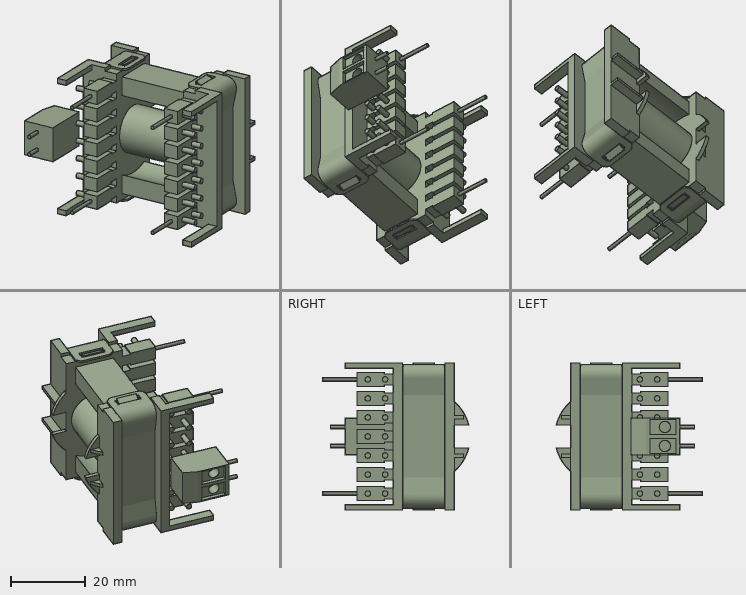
import cadquery as cq
import math


head_outer_x = -21.25
head_inner_x = -10.65
head_height = 39.4
step_height = 37.5
step_x = -14.25
plate_outer_y = 8.2
plate_inner_y = 5.65

cap_height = 38.6
cap_inner_x = -9.55
cap_corner_radius = 2.0
shoulder_x = -18.65
shoulder_radius = 3.0
undercut_angle = math.radians(12)
waist_height = 22.05

window_outer_x = -13.2
window_inner_x = -11.3
window_width = 6.8
wedge_outer_x = -13.1
wedge_inner_x = -11.0
wedge_width = 5.7

winding_diameter = 13.4
core_half_depth = 5.5
leg_outer_z = 16.95
leg_edge_z = 11.55

arm_width = 2.75
arm_thickness = 1.5
arm_end_y = -21.05

pin_pitch = 5.1
carriers_per_head = 7
carrier_outer_x = -14.9
carrier_height = 3.8
neck_height = 3.0
neck_end_y = -10.55
carrier_end_y = -17.85
wire_pin_diameter = 1.5
back_pin_y = -10.35
back_pin_end_x = -17.7
front_pin_y = -14.95
front_pin_end_x = -18.75
solder_pin_diameter = 1.0
solder_pin_end_y = -27.05

fin_radius = 12.45
fin_thickness = 1.1
fin_gap = 6.15
rib_thickness = 0.95
rib_z = 5.2
rib_top_y = 10.7

block_outer_x = -31.75
block_inner_x = -22.7
block_top_y = -7.95
block_bottom_y = arm_end_y
block_height = 9.85
bevel_x = -30.6
bevel_y = -12.0
terminal_pin_x = -27.7
terminal_pin_end_y = -24.95
pocket_top_y = -13.1
pocket_bottom_y = -20.0
pocket_height = 4.15
pocket_depth = 1.05
wire_hole_diameter = 3.0
wire_hole_y = -17.0
wire_hole_depth = 3.2


def box(x_range, y_range, z_range):
    """Box between two coordinates along each axis."""
    low = [min(pair) for pair in (x_range, y_range, z_range)]
    size = [abs(pair[1] - pair[0]) for pair in (x_range, y_range, z_range)]
    return cq.Workplane("XY").box(*size, centered=False).translate(tuple(low))


def centred(size, middle=0.0):
    """The two coordinates of a span of the given size about its middle."""
    return (middle - size / 2, middle + size / 2)


def rod_along_x(diameter, start_x, end_x, y, z):
    axis = cq.Vector(end_x - start_x, 0, 0)
    return cq.Workplane(cq.Solid.makeCylinder(diameter / 2, axis.Length, cq.Vector(start_x, y, z), axis))


def rod_along_y(diameter, start_y, end_y, x, z):
    axis = cq.Vector(0, end_y - start_y, 0)
    return cq.Workplane(cq.Solid.makeCylinder(diameter / 2, axis.Length, cq.Vector(x, start_y, z), axis))


def mirrored_in_x(shape):
    return shape.mirror("YZ")


def shoulder():
    """Block between the two plates: rounded at top and bottom and drawn in to a waist."""
    top_z = cap_height / 2
    centre_x = shoulder_x + shoulder_radius
    centre_z = top_z - shoulder_radius
    waist_z = waist_height / 2
    arc_end_x = centre_x - shoulder_radius * math.cos(undercut_angle)
    arc_end_z = centre_z - shoulder_radius * math.sin(undercut_angle)
    waist_x = arc_end_x + (arc_end_z - waist_z) * math.tan(undercut_angle)
    return (
        cq.Workplane("XZ")
        .moveTo(head_inner_x, top_z)
        .lineTo(centre_x, top_z)
        .threePointArc((shoulder_x, centre_z), (arc_end_x, arc_end_z))
        .lineTo(waist_x, waist_z)
        .lineTo(waist_x, -waist_z)
        .lineTo(arc_end_x, -arc_end_z)
        .threePointArc((shoulder_x, -centre_z), (centre_x, -top_z))
        .lineTo(head_inner_x, -top_z)
        .close()
        .extrude(core_half_depth, both=True)
    )


def cap(side):
    """Thin lip that carries the shoulder surface past the head, on the top (+1) or bottom (-1)."""
    lip = box(
        (step_x, cap_inner_x),
        (-core_half_depth, core_half_depth),
        (side * step_height / 2, side * cap_height / 2),
    )
    return lip.edges("|Z and >X").fillet(cap_corner_radius)


def cap_window(side):
    return box(
        (window_outer_x, window_inner_x),
        centred(window_width),
        (side * step_height / 2, side * cap_height / 2),
    )


def snap_wedge(side):
    """Ramp rising from the window floor to the full height of the head."""
    floor_z = side * step_height / 2
    peak_z = side * head_height / 2
    lip_z = side * cap_height / 2
    return (
        cq.Workplane("XZ")
        .polyline(
            [
                (wedge_outer_x, floor_z),
                (wedge_inner_x, peak_z),
                (wedge_inner_x, lip_z),
                (window_inner_x, lip_z),
                (window_inner_x, floor_z),
            ]
        )
        .close()
        .extrude(wedge_width / 2, both=True)
    )


def plates():
    """The two plates of a head, joined by a slightly lower wall next to the winding."""
    wall = box((step_x, head_inner_x), (-plate_outer_y, plate_outer_y), centred(step_height))
    for side in (-1, 1):
        y_range = (side * plate_inner_y, side * plate_outer_y)
        wall = wall.union(box((head_outer_x, step_x), y_range, centred(head_height)))
    return wall


def arm(side):
    outer_z = side * head_height / 2
    return box(
        (head_outer_x, head_outer_x + arm_width),
        (-plate_outer_y, arm_end_y),
        (outer_z, outer_z - side * arm_thickness),
    )


def pin_carrier(z):
    """Necked block with its two wire pins."""
    x_range = (carrier_outer_x, head_inner_x)
    neck = box(x_range, (-plate_outer_y, neck_end_y), centred(neck_height, z))
    body = box(x_range, (neck_end_y, carrier_end_y), centred(carrier_height, z))
    pin_root_x = (carrier_outer_x + head_inner_x) / 2
    back_pin = rod_along_x(wire_pin_diameter, pin_root_x, back_pin_end_x, back_pin_y, z)
    front_pin = rod_along_x(wire_pin_diameter, pin_root_x, front_pin_end_x, front_pin_y, z)
    return neck.union(body).union(back_pin).union(front_pin)


def solder_pin(z):
    middle_x = (carrier_outer_x + head_inner_x) / 2
    return rod_along_y(solder_pin_diameter, carrier_end_y, solder_pin_end_y, middle_x, z)


def fins():
    """Two fins cut from one disc about the winding axis, with a gap between them."""
    disc = rod_along_x(2 * fin_radius, head_inner_x - fin_thickness, head_inner_x, 0, 0)
    x_range = (head_inner_x - fin_thickness, head_inner_x)
    y_range = (plate_outer_y, fin_radius)
    segment = disc.intersect(box(x_range, y_range, centred(2 * fin_radius)))
    return segment.cut(box(x_range, y_range, centred(fin_gap)))


def head():
    """Everything that the two heads have in common."""
    shape = shoulder().union(plates())
    for side in (-1, 1):
        shape = shape.union(cap(side)).cut(cap_window(side)).union(snap_wedge(side)).union(arm(side))
    middle = (carriers_per_head - 1) / 2
    for index in range(carriers_per_head):
        shape = shape.union(pin_carrier((index - middle) * pin_pitch))
    for side in (-1, 1):
        shape = shape.union(solder_pin(side * middle * pin_pitch))
    return shape.union(fins())


def gusset_rib(z):
    """Triangular rib behind a fin of the -X head, sloping at 45 degrees."""
    fin_back_x = head_inner_x - fin_thickness
    rise = rib_top_y - plate_outer_y
    return (
        cq.Workplane("XY", origin=(0, 0, z - rib_thickness / 2))
        .polyline(
            [
                (fin_back_x, plate_outer_y),
                (fin_back_x, rib_top_y),
                (fin_back_x - rise, plate_outer_y),
            ]
        )
        .close()
        .extrude(rib_thickness)
    )


def long_rib(z):
    """Straight rib from a fin of the +X head to the outer face of that head."""
    fin_back_x = -head_inner_x + fin_thickness
    return box((fin_back_x, -head_outer_x), (plate_outer_y, rib_top_y), centred(rib_thickness, z))


def core():
    """Round winding and the two legs that join the heads, hollowed about the winding axis."""
    x_range = (head_inner_x, -head_inner_x)
    legs = box(x_range, (-core_half_depth, core_half_depth), centred(2 * leg_outer_z))
    hollow_radius = math.hypot(leg_edge_z, core_half_depth)
    hollow = rod_along_x(2 * hollow_radius, *x_range, 0, 0)
    winding = rod_along_x(winding_diameter, *x_range, 0, 0)
    return legs.cut(hollow).union(winding)


def make_transformer():
    left_head = head()
    shape = left_head.union(mirrored_in_x(left_head)).union(core())
    for side in (-1, 1):
        shape = shape.union(gusset_rib(side * rib_z)).union(long_rib(side * rib_z))
    return shape


def make_terminal_block():
    """Bevelled housing with a wire entry and a solder pin for each of its two poles."""
    shape = (
        cq.Workplane("XY", origin=(0, 0, -block_height / 2))
        .polyline(
            [
                (block_outer_x, block_bottom_y),
                (block_inner_x, block_bottom_y),
                (block_inner_x, block_top_y),
                (bevel_x, block_top_y),
                (block_outer_x, bevel_y),
            ]
        )
        .close()
        .extrude(block_height)
    )
    pocket_floor_x = block_outer_x + pocket_depth
    hole_end_x = pocket_floor_x + wire_hole_depth
    for side in (-1, 1):
        pole_z = side * pin_pitch / 2
        pocket = box(
            (block_outer_x, pocket_floor_x),
            (pocket_top_y, pocket_bottom_y),
            centred(pocket_height, pole_z),
        )
        wire_hole = rod_along_x(wire_hole_diameter, pocket_floor_x, hole_end_x, wire_hole_y, pole_z)
        pin = rod_along_y(
            solder_pin_diameter, block_bottom_y, terminal_pin_end_y, terminal_pin_x, pole_z
        )
        shape = shape.cut(pocket).cut(wire_hole).union(pin)
    return shape


transformer = make_transformer()
terminal_block = make_terminal_block()
result = cq.Compound.makeCompound([*transformer.solids().vals(), *terminal_block.solids().vals()])